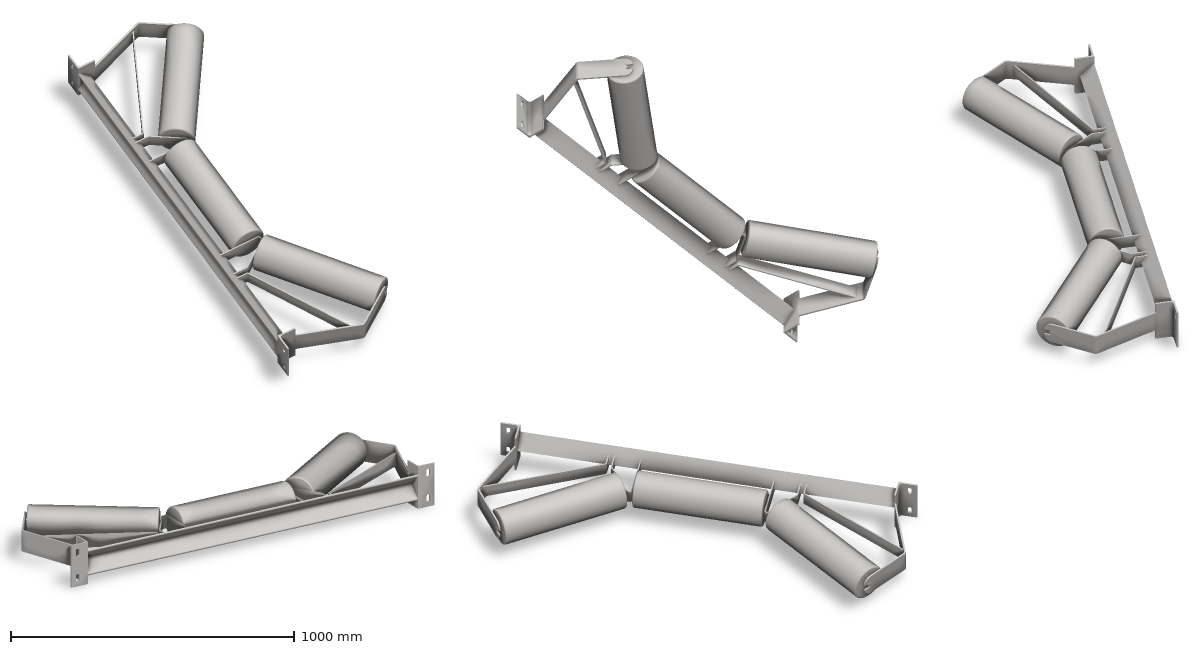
import cadquery as cq
import math

trough_angle = math.radians(35)

roller_diameter = 133.0
roller_length = 467.0
roller_edge_radius = 6.0
axle_diameter = 22.0
centre_axis_y = 150.0
wing_centre_x = 477.0
wing_centre_y = 301.0
end_gap = 5.0

beam_half_length = 682.0
beam_leg = 70.0
beam_thickness = 7.0
beam_root_radius = 10.0
beam_toe_radius = 5.0

foot_leg = 70.0
foot_height = 160.0
foot_root_radius = 11.0
plate_thickness = 6.0
plate_inner_radius = 10.0
arm_height = 80.0
arm_lean = math.radians(20.1)
arm_bend_y = 68.0
arm_tip_beyond_axle = 30.0
arm_corner_radius = 30.0

hole_width = 14.0
hole_x = 725
hole_inner_z = 34.0
hole_outer_z = 62

strip_thickness = 5.0
strip_height = 50.0
strip_inner_radius = 3.0
brace_leg_x = 355
brace_bend_y = 74.0
brace_slope = math.radians(26.5)
saddle_leg_x = 338.0
saddle_top_y = 193.0

toe_run = beam_leg + beam_thickness - 2 * beam_toe_radius
apex_y = toe_run / math.sqrt(2) + beam_toe_radius
strip_foot_y = apex_y - strip_height / 2
roller_half = roller_length / 2
axis_out = (-math.cos(trough_angle), math.sin(trough_angle))
plate_up = (math.sin(trough_angle), math.cos(trough_angle))


def wing_axis_point(distance):
    """Point on the left wing roller axis, at a distance outward from its centre."""
    return (-wing_centre_x + distance * axis_out[0], wing_centre_y + distance * axis_out[1])


def along_plate(point, distance):
    """Point moved along the plates that are parallel to the wing roller faces."""
    return (point[0] + distance * plate_up[0], point[1] + distance * plate_up[1])


def offset_left(path, thickness):
    """Mitred copy of an open path, moved to the left of its direction of travel."""
    normals = []
    for start, end in zip(path, path[1:]):
        length = math.dist(start, end)
        normals.append(((start[1] - end[1]) / length, (end[0] - start[0]) / length))
    moved = []
    for index, point in enumerate(path):
        before = normals[max(index - 1, 0)]
        after = normals[min(index, len(normals) - 1)]
        stretch = thickness / (1 + before[0] * after[0] + before[1] * after[1])
        moved.append((point[0] + stretch * (before[0] + after[0]),
                      point[1] + stretch * (before[1] + after[1])))
    return moved


def bent_plate(path, thickness, height, inner_radius, rounded_bends):
    """Plate standing along Z whose right-hand face follows the path, with rounded bends."""
    far_path = offset_left(path, thickness)
    plate = cq.Workplane("XY").polyline(path + far_path[::-1]).close().extrude(height / 2, both=True)
    for index in rounded_bends:
        before, corner, after = path[index - 1:index + 2]
        turn = ((corner[0] - before[0]) * (after[1] - corner[1])
                - (corner[1] - before[1]) * (after[0] - corner[0]))
        inside, outside = (far_path[index], corner) if turn > 0 else (corner, far_path[index])
        for place, radius in ((inside, inner_radius), (outside, inner_radius + thickness)):
            plate = plate.edges(cq.selectors.NearestToPointSelector((*place, 0))).fillet(radius)
    return plate


def wing_axle_hole():
    """Cylinder along the left wing roller axis, longer than the roller and its plates."""
    reach = roller_half + 46
    start = wing_axis_point(-reach)
    plane = cq.Plane(origin=(*start, 0), xDir=(0, 0, 1), normal=(*axis_out, 0))
    return cq.Workplane(plane).circle(axle_diameter / 2).extrude(2 * reach)


def beam_space():
    """Wedge filled by the beam and the room below it."""
    return (cq.Workplane("YZ")
            .polyline([(apex_y, 0), (apex_y - beam_leg, beam_leg), (apex_y - beam_leg, -beam_leg)])
            .close().extrude(beam_half_length, both=True))


def make_beam():
    profile_plane = cq.Plane(origin=(-beam_half_length, apex_y, 0), xDir=(0, -1, 1), normal=(1, 0, 0))
    beam = (cq.Workplane(profile_plane)
            .polyline([(0, 0), (beam_leg, 0), (beam_leg, beam_thickness),
                       (beam_thickness, beam_thickness), (beam_thickness, beam_leg), (0, beam_leg)])
            .close().extrude(2 * beam_half_length))

    def edge_at(u, v):
        place = profile_plane.toWorldCoords((u, v, beam_half_length))
        return cq.selectors.NearestToPointSelector(place.toTuple())

    beam = beam.edges(edge_at(beam_thickness, beam_thickness)).fillet(beam_root_radius)
    beam = beam.edges(edge_at(beam_leg, beam_thickness)).fillet(beam_toe_radius)
    return beam.edges(edge_at(beam_thickness, beam_leg)).fillet(beam_toe_radius)


def make_roller(left_overhang, right_overhang):
    """Roller along X, centred on the origin, with its axle ends."""
    roller = (cq.Workplane("YZ", origin=(-roller_half, 0, 0)).circle(roller_diameter / 2)
              .extrude(roller_length).edges().fillet(roller_edge_radius))
    axle = (cq.Workplane("YZ", origin=(-roller_half - left_overhang, 0, 0)).circle(axle_diameter / 2)
            .extrude(left_overhang + roller_length + right_overhang))
    return roller.union(axle)


def make_rollers():
    """Centre roller and the two wing rollers; the axles end flush with the plates."""
    inner = end_gap + strip_thickness
    outer = end_gap + plate_thickness
    tilt = math.degrees(trough_angle)
    up = (0, 0, 1)
    centre = make_roller(inner, inner).translate((0, centre_axis_y, 0))
    left = make_roller(outer, inner).rotate((0, 0, 0), up, -tilt)
    right = make_roller(inner, outer).rotate((0, 0, 0), up, tilt)
    return [centre,
            left.translate((-wing_centre_x, wing_centre_y, 0)),
            right.translate((wing_centre_x, wing_centre_y, 0))]


arm_axle_point = wing_axis_point(roller_half + end_gap)


def arm_kink():
    """Where the leaning lower arm meets the upper arm, on the inner face."""
    lean = (-math.sin(arm_lean), math.cos(arm_lean))
    dx = arm_axle_point[0] + beam_half_length
    dy = arm_axle_point[1] - arm_bend_y
    distance = (dx * plate_up[1] - dy * plate_up[0]) / (lean[0] * plate_up[1] - lean[1] * plate_up[0])
    return (-beam_half_length + distance * lean[0], arm_bend_y + distance * lean[1])


def make_foot_and_arm():
    """Foot and arm bent from one T-shaped plate: wide at the foot, narrow along the arm."""
    path = [(-beam_half_length - foot_leg, 0), (-beam_half_length, 0), (-beam_half_length, arm_bend_y),
            arm_kink(), along_plate(arm_axle_point, arm_tip_beyond_axle)]
    plate = bent_plate(path, plate_thickness, foot_height, plate_inner_radius, [2, 3])
    root = (-beam_half_length - plate_thickness, plate_thickness, 0)
    plate = plate.edges(cq.selectors.NearestToPointSelector(root)).fillet(foot_root_radius)

    side_strip = (foot_height - arm_height) / 2
    reach = 617
    for side in (-1, 1):
        trim = cq.Workplane("XY").box(reach, reach, side_strip).translate(
            (-beam_half_length, foot_leg + reach / 2, side * (arm_height + side_strip) / 2))
        plate = plate.cut(trim)
    tip = along_plate(arm_axle_point, arm_tip_beyond_axle)
    for side in (-1, 1):
        corner = cq.selectors.NearestToPointSelector((*tip, side * arm_height / 2))
        tip_face = plate.faces(cq.selectors.NearestToPointSelector((*tip, 0)))
        plate = tip_face.edges(corner).fillet(arm_corner_radius)
    return plate


def axle_slot():
    """Straight part of the open slot, from the axle to the tip of the arm."""
    middle = along_plate(arm_axle_point, arm_tip_beyond_axle / 2)
    plane = cq.Plane(origin=(*middle, 0), xDir=(*plate_up, 0), normal=(*axis_out, 0))
    return cq.Workplane(plane).rect(arm_tip_beyond_axle, axle_diameter).extrude(2 * plate_thickness, both=True)


def mounting_hole():
    """Hole through the foot: flat outer end and round inner end."""
    half = hole_width / 2
    round_start = hole_inner_z + half
    return (cq.Workplane("XZ").moveTo(-hole_x - half, hole_outer_z)
            .lineTo(-hole_x - half, round_start)
            .threePointArc((-hole_x, hole_inner_z), (-hole_x + half, round_start))
            .lineTo(-hole_x + half, hole_outer_z).close()
            .extrude(plate_thickness, both=True))


def make_brace():
    """Strip from the beam to the lower arm, ending where its lower face meets the arm."""
    kink = arm_kink()
    bend = (-brace_leg_x, brace_bend_y)
    run_x = math.cos(brace_slope)
    rise_y = math.sin(brace_slope)
    arm_x, arm_y = kink[0] + beam_half_length, kink[1] - arm_bend_y
    dx, dy = -beam_half_length - bend[0], arm_bend_y - bend[1]
    distance = (dx * arm_y - dy * arm_x) / (-run_x * arm_y - rise_y * arm_x)
    end = (bend[0] - distance * run_x, bend[1] + distance * rise_y)
    brace = bent_plate([(-brace_leg_x, strip_foot_y), bend, end],
                       strip_thickness, strip_height, strip_inner_radius, [1])
    return brace.cut(beam_space())


def make_side_frame():
    """Foot, arm and the brace welded to the arm."""
    hole = mounting_hole()
    return (make_foot_and_arm().cut(wing_axle_hole()).cut(axle_slot())
            .cut(hole).cut(hole.mirror("XY")).union(make_brace()))


def make_saddle():
    centre_face_x = -roller_half - end_gap
    wing_face = wing_axis_point(-roller_half - end_gap)
    top_distance = (saddle_top_y - wing_face[1]) / plate_up[1]
    leg_distance = (-saddle_leg_x - wing_face[0]) / plate_up[0]
    path = [(centre_face_x, strip_foot_y), (centre_face_x, saddle_top_y),
            along_plate(wing_face, top_distance), along_plate(wing_face, leg_distance),
            (-saddle_leg_x, strip_foot_y)]
    saddle = bent_plate(path, strip_thickness, strip_height, strip_inner_radius, [1, 2, 3])
    centre_hole = (cq.Workplane("YZ", origin=(centre_face_x, centre_axis_y, 0))
                   .circle(axle_diameter / 2).extrude(strip_thickness, both=True))
    return saddle.cut(beam_space()).cut(centre_hole).cut(wing_axle_hole())


beam = make_beam()
rollers = make_rollers()
mirrored_pairs = []
for left_body in (make_side_frame(), make_saddle()):
    mirrored_pairs += [left_body, left_body.mirror("YZ")]

result = cq.Compound.makeCompound([body.val() for body in [beam, *rollers, *mirrored_pairs]])